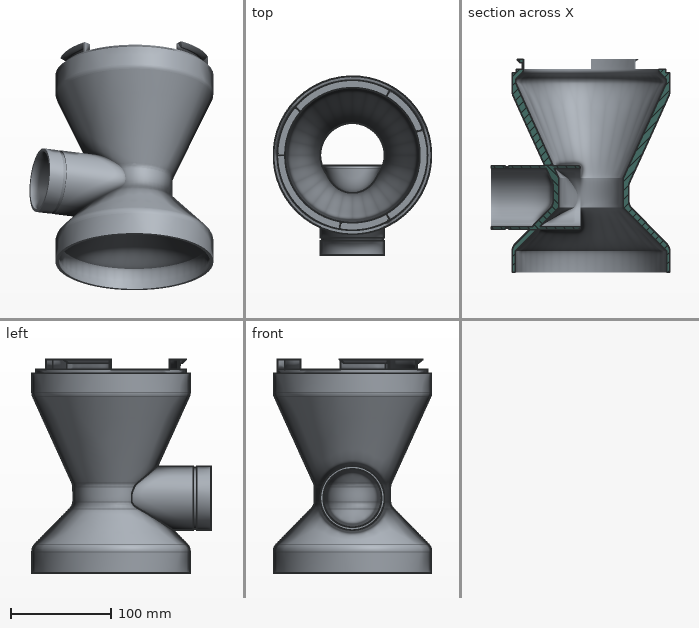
import cadquery as cq
import math

body_diameter = 158.0
total_height = 213.5
body_radius = body_diameter / 2

socket_diameter = 151.0
socket_depth = 21.4
lower_shoulder_z = 25.6

neck_diameter = 76.0
neck_bore_diameter = 64.0
neck_bottom_z = 67.3
neck_top_z = 88.4
funnel_bore_bottom_z = 94.4
corner_radius = 10.0

upper_shoulder_z = 178.5
rim_z = 199.8
collar_top_z = 203.5
collar_diameter = 150.0
mouth_diameter = 135.0

lip_z = 200.7
undercut_radius = 76.2
undercut_z = lip_z - (undercut_radius - mouth_diameter / 2)
undercut_fillet = 5.0

tab_count = 3
tab_stop_end_angle = 60.0
tab_span_angle = 40.0
tab_wall = 1.5
stop_angle = 1.4
hook_height = 4.0

pipe_diameter = 64.0
pipe_bore_diameter = 58.3
pipe_axis_z = 75.0
pipe_outer_y = -100.0
pipe_inner_y = -10.2
pipe_inner_end_fillet = 2.8
groove_diameter = 62.0
groove_width = 3.2
groove_from_end = 14.3


def unit_vector(start, end):
    length = math.dist(start, end)
    return ((end[0] - start[0]) / length, (end[1] - start[1]) / length)


def rounded_outline(corners):
    """Closed XZ outline through (x, z, fillet radius) corners, of which the first is sharp."""
    outline = cq.Workplane("XZ").moveTo(*corners[0][:2])
    for index in range(1, len(corners)):
        x, z, radius = corners[index]
        corner = (x, z)
        if radius == 0:
            outline = outline.lineTo(x, z)
            continue
        back = unit_vector(corner, corners[index - 1][:2])
        ahead = unit_vector(corner, corners[(index + 1) % len(corners)][:2])
        half_angle = math.acos(back[0] * ahead[0] + back[1] * ahead[1]) / 2
        setback = radius / math.tan(half_angle)
        apex_distance = radius / math.sin(half_angle) - radius
        inward = unit_vector((0, 0), (back[0] + ahead[0], back[1] + ahead[1]))
        start = (x + back[0] * setback, z + back[1] * setback)
        middle = (x + inward[0] * apex_distance, z + inward[1] * apex_distance)
        end = (x + ahead[0] * setback, z + ahead[1] * setback)
        outline = outline.lineTo(*start).threePointArc(middle, end)
    return outline.close()


def revolved_shell():
    """Hourglass wall of the housing, open at both ends."""
    outside = [
        (socket_diameter / 2, 0, 0),
        (body_radius, 0, 0),
        (body_radius, lower_shoulder_z, corner_radius),
        (neck_diameter / 2, neck_bottom_z, corner_radius),
        (neck_diameter / 2, neck_top_z, corner_radius),
        (body_radius, upper_shoulder_z, corner_radius),
        (body_radius, rim_z, 0),
        (collar_diameter / 2, rim_z, 0),
        (collar_diameter / 2, collar_top_z, 0),
    ]
    cone_rise = (socket_diameter - neck_bore_diameter) / 2
    inside = [
        (mouth_diameter / 2, collar_top_z, 0),
        (mouth_diameter / 2, lip_z, undercut_fillet),
        (undercut_radius, undercut_z, undercut_fillet),
        (neck_bore_diameter / 2, funnel_bore_bottom_z, 0),
        (neck_bore_diameter / 2, socket_depth + cone_rise, 0),
        (socket_diameter / 2, socket_depth, 0),
    ]
    return rounded_outline(outside + inside).revolve(360, (0, 0, 0), (0, 1, 0))


def swept_profile(points, start_angle, span_angle):
    """Solid of an XZ profile turned about Z from start_angle through span_angle."""
    profile = cq.Workplane("XZ").polyline(points).close()
    solid = profile.revolve(span_angle, (0, 0, 0), (0, 1, 0))
    return solid.rotate((0, 0, 0), (0, 0, 1), start_angle)


def bayonet_tab(stop_end_angle):
    """Thin wall with an outward hook and a full-width stop at its stop_end_angle side."""
    inner = mouth_diameter / 2
    wall_outer = inner + tab_wall
    outer = collar_diameter / 2
    hook_z = total_height - hook_height
    open_end_angle = stop_end_angle - tab_span_angle
    wall_section = [
        (inner, collar_top_z),
        (wall_outer, collar_top_z),
        (wall_outer, total_height),
        (inner, total_height),
    ]
    hook_section = [
        (wall_outer, hook_z),
        (outer - hook_height, hook_z),
        (outer, total_height),
        (wall_outer, total_height),
    ]
    stop_section = [
        (inner, collar_top_z),
        (outer, collar_top_z),
        (outer, total_height),
        (inner, total_height),
    ]
    lead_in = (
        cq.Workplane("YZ")
        .polyline([(0, hook_z), (hook_height, hook_z), (0, total_height)])
        .close()
        .extrude(body_radius)
        .rotate((0, 0, 0), (0, 0, 1), open_end_angle)
    )
    wall = swept_profile(wall_section, open_end_angle, tab_span_angle)
    hook = swept_profile(hook_section, open_end_angle, tab_span_angle).cut(lead_in)
    stop = swept_profile(stop_section, stop_end_angle - stop_angle, stop_angle)
    return wall.union(hook).union(stop)


def along_pipe(diameter, start_y, length):
    """Cylinder on the pipe axis that runs from start_y towards -Y."""
    plane = cq.Workplane("XZ", origin=(0, start_y, pipe_axis_z))
    return plane.circle(diameter / 2).extrude(length)


def pipe_envelope():
    """Solid outer shape of the pipe, with the rounded inner end and the groove."""
    length = pipe_inner_y - pipe_outer_y
    envelope = along_pipe(pipe_diameter, pipe_inner_y, length)
    envelope = envelope.faces(">Y").edges().fillet(pipe_inner_end_fillet)
    groove_y = pipe_outer_y + groove_from_end + groove_width
    groove = along_pipe(pipe_diameter, groove_y, groove_width).cut(
        along_pipe(groove_diameter, groove_y, groove_width)
    )
    return envelope.cut(groove)


shell = revolved_shell()
envelope = pipe_envelope()
bore = along_pipe(pipe_bore_diameter, pipe_inner_y, pipe_inner_y - pipe_outer_y)

housing = shell.cut(envelope)
for tab_index in range(tab_count):
    housing = housing.union(bayonet_tab(tab_stop_end_angle + tab_index * 360 / tab_count))

web = shell.intersect(bore)
pipe = envelope.cut(bore).union(web)

result = cq.Compound.makeCompound([housing.val(), pipe.val()])